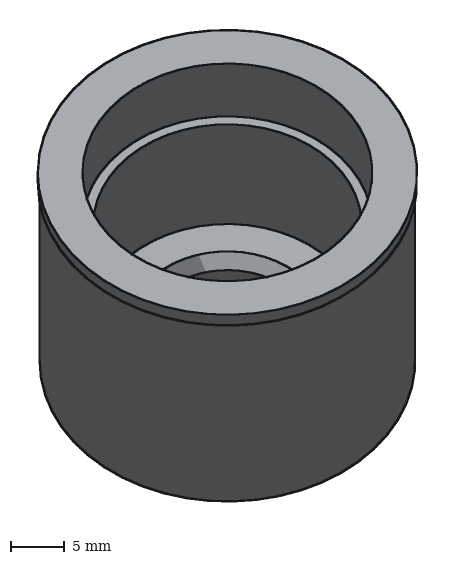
import cadquery as cq

height = 26.5
body_diameter = 34.98
rim_diameter = 35.3
rim_height = 1.73
rim_chamfer_height = 0.25
rim_chamfer_width = (rim_diameter - body_diameter) / 2

upper_bore_diameter = 26.97
upper_bore_depth = 7.45
lower_bore_diameter = 25.0
floor_thickness = 5.0

hole_diameter = 15.75
countersink_diameter = 18.2
countersink_depth = (countersink_diameter - hole_diameter) / 2


def cylinder(diameter, bottom, top):
    """Vertical cylinder on the part axis between two heights."""
    return cq.Workplane("XY").workplane(offset=bottom).circle(diameter / 2).extrude(top - bottom)


def make_sleeve():
    """Body with a slightly wider rim, chamfered on its lower edge."""
    body = cylinder(body_diameter, 0, height)
    rim = cylinder(rim_diameter, height - rim_height, height)
    rim = rim.faces("<Z").chamfer(rim_chamfer_height, rim_chamfer_width)
    return body.union(rim)


def make_countersink():
    """Cone that opens the floor hole toward the bore."""
    return (
        cq.Workplane("XY")
        .workplane(offset=floor_thickness - countersink_depth)
        .circle(hole_diameter / 2)
        .workplane(offset=countersink_depth)
        .circle(countersink_diameter / 2)
        .loft(ruled=True)
    )


result = (
    make_sleeve()
    .cut(cylinder(upper_bore_diameter, height - upper_bore_depth, height))
    .cut(cylinder(lower_bore_diameter, floor_thickness, height))
    .cut(cylinder(hole_diameter, 0, height))
    .cut(make_countersink())
)